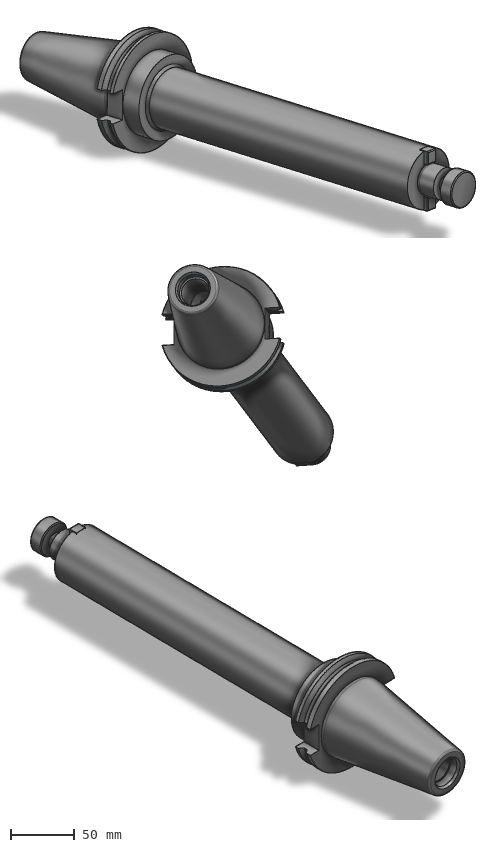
import cadquery as cq
import math

total_length = 442.5

taper_length = 101.5
taper_big_diameter = 70.0
taper_slope = 7 / 24
end_fillet = 1.8

flange_diameter = 97.5
flange_start = 104.0
flange_width = 16.5
groove_center = 113.0
groove_mouth_width = 9.0
groove_floor_width = 3.0
groove_depth = 3.5
slot_width = 25.2
slot_floor_back = 37.5
slot_floor_front = 35.5

collar_diameter = 70.0
collar_end = 136.8
root_cone = 2.0
shaft_diameter = 50.0
shaft_end = 406.0
pilot_diameter = 26.5
pilot_end = 422.5
relief_diameter = 26.0
relief_width = 1.0
relief_run_out = 1.5

mouth_diameter = 28.0
mouth_depth = 2.0
counterbore_diameter = 25.2
counterbore_depth = 9.0
bore_diameter = 22.0
bore_depth = 44.3
drill_point_angle = 118.0
socket_side = 8.5
socket_depth = 53.0

key_width = 10.0
key_start = 401.5
key_end = 410.0
key_inner = 13.5
key_chamfer = 1.0

head_diameter = 30.0
head_length = 12.0
head_chamfer = 1.0
stem_diameter = 13.0
stem_start = 407.0

taper_big_radius = taper_big_diameter / 2
taper_small_radius = (taper_big_diameter - taper_slope * taper_length) / 2
flange_radius = flange_diameter / 2
flange_end = flange_start + flange_width
shaft_radius = shaft_diameter / 2


def turned(points):
    """Solid of revolution about X from (x, radius) points."""
    return cq.Workplane("XY").polyline(points).close().revolve(360, (0, 0, 0), (1, 0, 0))


def box_between(x0, x1, y0, y1, z0, z1):
    """Box given by its limits along X, Y and Z."""
    return cq.Workplane("XY").box(x1 - x0, y1 - y0, z1 - z0, centered=False).translate((x0, y0, z0))


def make_key(side):
    """Drive key on the +Z (side = 1) or -Z (side = -1) edge of the shaft end."""
    z_low, z_high = sorted((side * key_inner, side * shaft_radius))
    key = box_between(key_start, key_end, -key_width / 2, key_width / 2, z_low, z_high)
    return key.faces(">X").chamfer(key_chamfer)


def make_screw():
    """Clamping screw: chamfered round head on a plain stem."""
    head_start = total_length - head_length
    head = cq.Workplane("YZ").workplane(offset=head_start).circle(head_diameter / 2).extrude(head_length)
    head = head.edges().chamfer(head_chamfer)
    stem = cq.Workplane("YZ").workplane(offset=stem_start).circle(stem_diameter / 2)
    return head.union(stem.extrude(head_start - stem_start))


def make_blank():
    """Turned outside of the arbor."""
    return turned([
        (0, 0),
        (0, taper_small_radius),
        (taper_length, taper_big_radius),
        (flange_start, taper_big_radius),
        (flange_start, flange_radius),
        (groove_center - groove_mouth_width / 2, flange_radius),
        (groove_center - groove_floor_width / 2, flange_radius - groove_depth),
        (groove_center + groove_floor_width / 2, flange_radius - groove_depth),
        (groove_center + groove_mouth_width / 2, flange_radius),
        (flange_end, flange_radius),
        (flange_end, collar_diameter / 2),
        (collar_end, collar_diameter / 2),
        (collar_end, shaft_radius + root_cone),
        (collar_end + root_cone, shaft_radius),
        (shaft_end, shaft_radius),
        (shaft_end, relief_diameter / 2),
        (shaft_end + relief_width, relief_diameter / 2),
        (shaft_end + relief_width + relief_run_out, pilot_diameter / 2),
        (pilot_end, pilot_diameter / 2),
        (pilot_end, 0),
    ]).faces("<X").edges().fillet(end_fillet)


def make_bore():
    """Cutter of the stepped bore in the taper end: drill point with a square socket in its bottom."""
    bore_radius = bore_diameter / 2
    point_length = bore_radius / math.tan(math.radians(drill_point_angle / 2))
    bore = turned([
        (0, 0),
        (0, mouth_diameter / 2),
        (mouth_depth, counterbore_diameter / 2),
        (counterbore_depth, counterbore_diameter / 2),
        (counterbore_depth, bore_radius),
        (bore_depth, bore_radius),
        (bore_depth + point_length, 0),
    ])
    half = socket_side / 2
    return bore.union(box_between(bore_depth, socket_depth, -half, half, -half, half))


def make_slots():
    """Cutters of the two drive slots through the flange."""
    half = slot_width / 2
    back = box_between(flange_start, flange_end, slot_floor_back, flange_radius, -half, half)
    front = box_between(flange_start, flange_end, -flange_radius, -slot_floor_front, -half, half)
    return back.union(front)


keys = [make_key(side) for side in (1, -1)]
screw = make_screw()
arbor = make_blank().cut(make_bore()).cut(make_slots()).cut(screw)
for key in keys:
    arbor = arbor.cut(key)

result = cq.Compound.makeCompound([arbor.val(), screw.val(), *[key.val() for key in keys]])